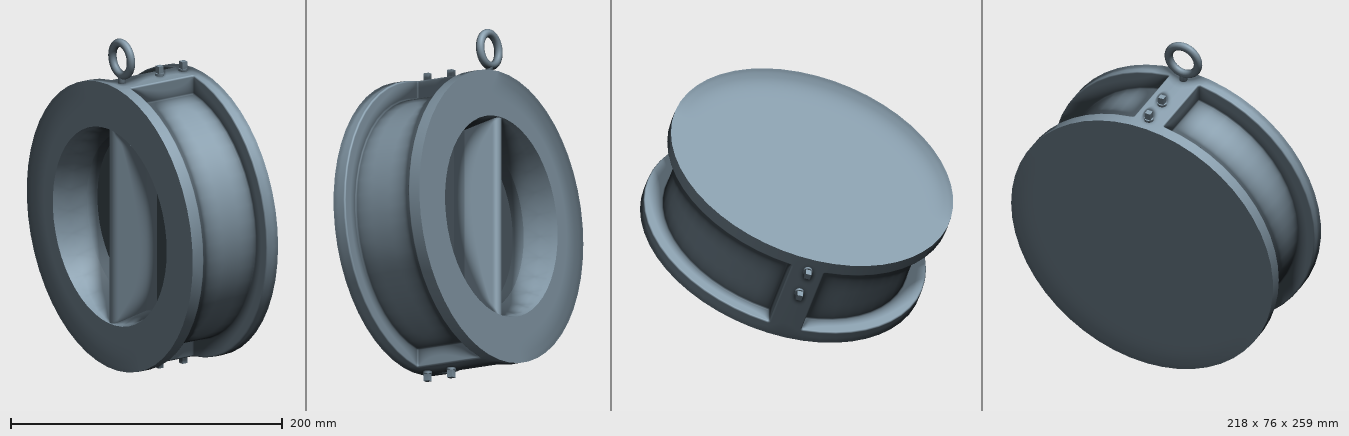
import cadquery as cq
import math


body_length = 76.0
flange_radius = 109.0
flange_thickness = 10.0
waist_radius = 94.8
web_width = 24.9
recess_fillet = 1.3

mouth_radius = 74.9
seat_radius = 67.0
cone_depth = 24.9
plate_depth = 34.5

bar_width = 22.8
nose_radius = 5.2
nose_setback = 0.8

plug_collar_radius = 3.4
plug_collar_top = 110.9
plug_head_width = 4.5
plug_top = 116.3
plug_back_offset = 10.5
plug_spacing = 21.0

eye_top = 142.7
eye_outer_radius = 15.3
eye_wire_radius = 3.0
eye_neck_radius = 2.8
eye_front_offset = 10.5

root_overlap = 2.5

front_y = -body_length / 2
back_y = body_length / 2
small_part_root = flange_radius - root_overlap


def make_body():
    """Drum with a filleted recess on each side, leaving two flanges and the webs."""
    drum = cq.Workplane("XZ", origin=(0, back_y, 0)).circle(flange_radius).extrude(body_length)

    recess_length = body_length - 2 * flange_thickness
    sleeve = (
        cq.Workplane("XZ", origin=(0, recess_length / 2, 0))
        .circle(flange_radius + root_overlap)
        .circle(waist_radius)
        .extrude(recess_length)
    )
    web = cq.Workplane("XY").box(web_width, body_length, 3 * flange_radius)
    body = drum.cut(sleeve.cut(web))

    end_margin = flange_thickness / 2
    recess_edges = cq.selectors.BoxSelector(
        (-2 * flange_radius, front_y + end_margin, -2 * flange_radius),
        (2 * flange_radius, back_y - end_margin, 2 * flange_radius),
        boundingbox=True,
    )
    return body.edges(recess_edges).fillet(recess_fillet)


def make_bore():
    """Conical mouth followed by a short straight seat, revolved about Y."""
    return (
        cq.Workplane("XY")
        .moveTo(0, front_y)
        .lineTo(mouth_radius, front_y)
        .lineTo(seat_radius, front_y + cone_depth)
        .lineTo(seat_radius, front_y + plate_depth)
        .lineTo(0, front_y + plate_depth)
        .close()
        .revolve(360, (0, 0, 0), (0, 1, 0))
    )


def make_bar():
    """Upright bar with a round nose, flanks tangent to the nose and a straight foot."""
    nose_y = front_y + nose_setback + nose_radius
    shoulder_y = front_y + cone_depth
    half_width = bar_width / 2

    corner_distance = math.hypot(half_width, shoulder_y - nose_y)
    corner_angle = math.atan2(shoulder_y - nose_y, half_width)
    tangent_angle = corner_angle - math.acos(nose_radius / corner_distance)
    tangent_x = nose_radius * math.cos(tangent_angle)
    tangent_y = nose_y + nose_radius * math.sin(tangent_angle)

    foot_y = front_y + plate_depth + root_overlap
    return (
        cq.Workplane("XY", origin=(0, 0, -mouth_radius))
        .moveTo(-half_width, foot_y)
        .lineTo(-half_width, shoulder_y)
        .lineTo(-tangent_x, tangent_y)
        .threePointArc((0, nose_y - nose_radius), (tangent_x, tangent_y))
        .lineTo(half_width, shoulder_y)
        .lineTo(half_width, foot_y)
        .close()
        .extrude(2 * mouth_radius)
    )


def make_plug(y):
    """Pin plug on top of the body: round collar below a square head."""
    base = cq.Workplane("XY", origin=(0, y, small_part_root))
    collar = base.circle(plug_collar_radius).extrude(plug_collar_top - small_part_root)
    head = base.rect(plug_head_width, plug_head_width).extrude(plug_top - small_part_root)
    return collar.union(head)


def make_lifting_eye():
    """Ring on a short round neck, standing on the front flange."""
    eye_y = front_y + eye_front_offset
    ring_radius = eye_outer_radius - eye_wire_radius
    ring_z = eye_top - eye_outer_radius
    ring = cq.Workplane("XY").add(
        cq.Solid.makeTorus(ring_radius, eye_wire_radius, cq.Vector(0, eye_y, ring_z), cq.Vector(0, 1, 0))
    )
    neck = (
        cq.Workplane("XY", origin=(0, eye_y, small_part_root))
        .circle(eye_neck_radius)
        .extrude(ring_z - ring_radius - small_part_root)
    )
    return ring.union(neck)


bore = make_bore()
result = make_body().cut(bore.cut(make_bar()))

for plug_index in range(2):
    plug = make_plug(back_y - plug_back_offset - plug_index * plug_spacing)
    result = result.union(plug).union(plug.mirror("XY"))

result = result.union(make_lifting_eye())